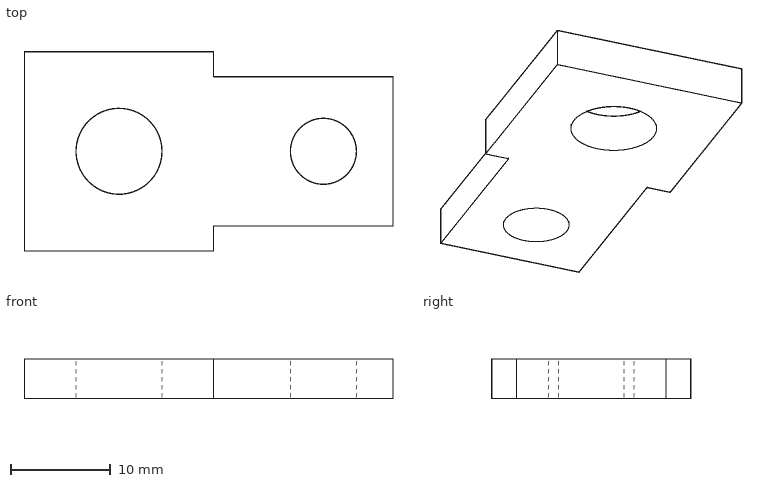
import cadquery as cq

thickness = 4.0

wide_length = 19.0
wide_width = 20.0
large_hole_diameter = 8.6
large_hole_x = wide_length / 2

narrow_length = 18.0
narrow_width = 15.0
small_hole_diameter = 6.6
small_hole_end_distance = 7.0

total_length = wide_length + narrow_length
small_hole_x = total_length - small_hole_end_distance


def plate_section(start_x, length, width):
    """Rectangular slab from start_x along +X, centred on the X axis, resting on Z = 0."""
    return (
        cq.Workplane("XY")
        .box(length, width, thickness, centered=(False, True, False))
        .translate((start_x, 0, 0))
    )


def through_hole(center_x, diameter):
    """Cylinder that cuts a hole through the full thickness on the centreline."""
    return cq.Workplane("XY").center(center_x, 0).circle(diameter / 2).extrude(thickness)


wide_end = plate_section(0, wide_length, wide_width)
narrow_end = plate_section(wide_length, narrow_length, narrow_width)
plate = wide_end.union(narrow_end)

plate = plate.cut(through_hole(large_hole_x, large_hole_diameter))
result = plate.cut(through_hole(small_hole_x, small_hole_diameter)).clean()